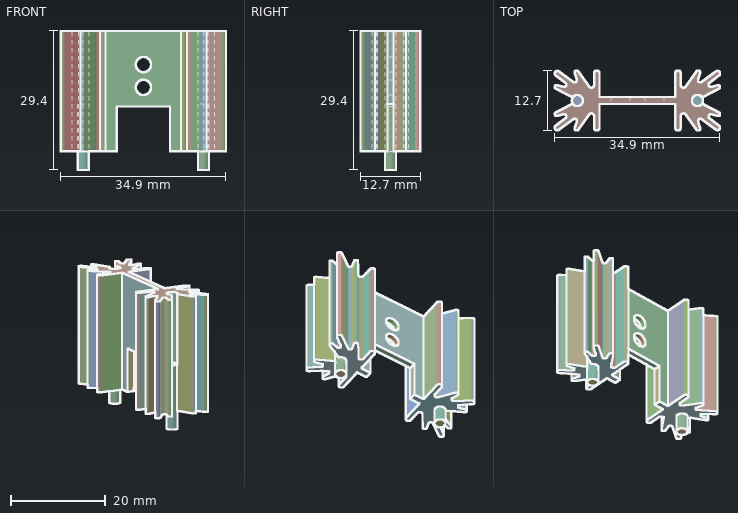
import cadquery as cq
import math

sink_length = 34.92
sink_depth = 12.7
sink_height = 25.42

web_thickness = 1.55
notch_width = 11.17
notch_height = 9.45
screw_hole_diameter = 3.18
screw_hole_drops = (7.1, 11.9)

pin_diameter = 2.37
pin_offset = 12.68
pin_length = 14.0
pin_protrusion = 3.95

low_tip_radius = 0.42
diagonal_tip_radius = 0.55
upright_tip_radius = 0.45
narrow_valley_radius = 0.45
wide_valley_radius = 0.55
straight_fin_width = 1.2
straight_fin_inner_x = -7.95

straight_tip_radius = straight_fin_width / 2
straight_fin_x = straight_fin_inner_x - straight_tip_radius
wide_valley_x = straight_fin_inner_x - straight_fin_width - wide_valley_radius
half_length = sink_length / 2
half_depth = sink_depth / 2
half_web = web_thickness / 2

fin_rounds = [
    (-12.43, 0, 0),
    (low_tip_radius - half_length, 2.85, low_tip_radius),
    (-15.47, 3.35, -narrow_valley_radius),
    (diagonal_tip_radius - half_length, 5.73, diagonal_tip_radius),
    (-13.25, 4.3, -narrow_valley_radius),
    (-12.8, half_depth - upright_tip_radius, upright_tip_radius),
    (wide_valley_x, 3.28, -wide_valley_radius),
    (straight_fin_x, half_depth - straight_tip_radius, straight_tip_radius),
    (straight_fin_inner_x, half_web, 0),
]


def tangent_heading(start, end):
    """Heading of the straight flank touching two successive rounds."""
    dx = end[0] - start[0]
    dy = end[1] - start[1]
    lean = math.asin((start[2] - end[2]) / math.hypot(dx, dy))
    return math.atan2(dy, dx) - lean


def point_on_round(fin_round, heading):
    """Point of a round where its outline travels along the heading."""
    x, y, radius = fin_round
    return (x - radius * math.sin(heading), y + radius * math.cos(heading))


def make_quarter():
    """One quarter of the extrusion: a set of fins and half the web."""
    headings = [tangent_heading(a, b) for a, b in zip(fin_rounds, fin_rounds[1:])]
    outline = cq.Workplane("XY").moveTo(*fin_rounds[0][:2])
    for fin_round, arrive, leave in zip(fin_rounds[1:-1], headings, headings[1:]):
        side = math.copysign(1, fin_round[2])
        turn = (side * (arrive - leave)) % math.tau
        middle = arrive - side * turn / 2
        outline = outline.lineTo(*point_on_round(fin_round, arrive))
        outline = outline.threePointArc(
            point_on_round(fin_round, middle), point_on_round(fin_round, leave)
        )
    outline = outline.lineTo(*fin_rounds[-1][:2]).lineTo(0, half_web).lineTo(0, 0)
    return outline.close().extrude(sink_height)


def make_heat_sink():
    quarter = make_quarter()
    half = quarter.union(quarter.mirror("XZ"))
    sink = half.union(half.mirror("YZ")).clean()

    bores = (
        cq.Workplane("XY")
        .pushPoints([(-pin_offset, 0), (pin_offset, 0)])
        .circle(pin_diameter / 2)
        .extrude(sink_height)
    )
    notch = cq.Workplane("XY").box(
        notch_width, web_thickness, notch_height, centered=(True, True, False)
    )
    screw_holes = (
        cq.Workplane("XZ")
        .pushPoints([(0, sink_height - drop) for drop in screw_hole_drops])
        .circle(screw_hole_diameter / 2)
        .extrude(half_web, both=True)
    )
    return sink.cut(bores).cut(notch).cut(screw_holes)


def make_pin(x):
    return (
        cq.Workplane("XY", origin=(x, 0, -pin_protrusion))
        .circle(pin_diameter / 2)
        .extrude(pin_length)
    )


heat_sink = make_heat_sink()
pins = [make_pin(side * pin_offset) for side in (-1, 1)]

result = cq.Compound.makeCompound([heat_sink.val(), *[pin.val() for pin in pins]])